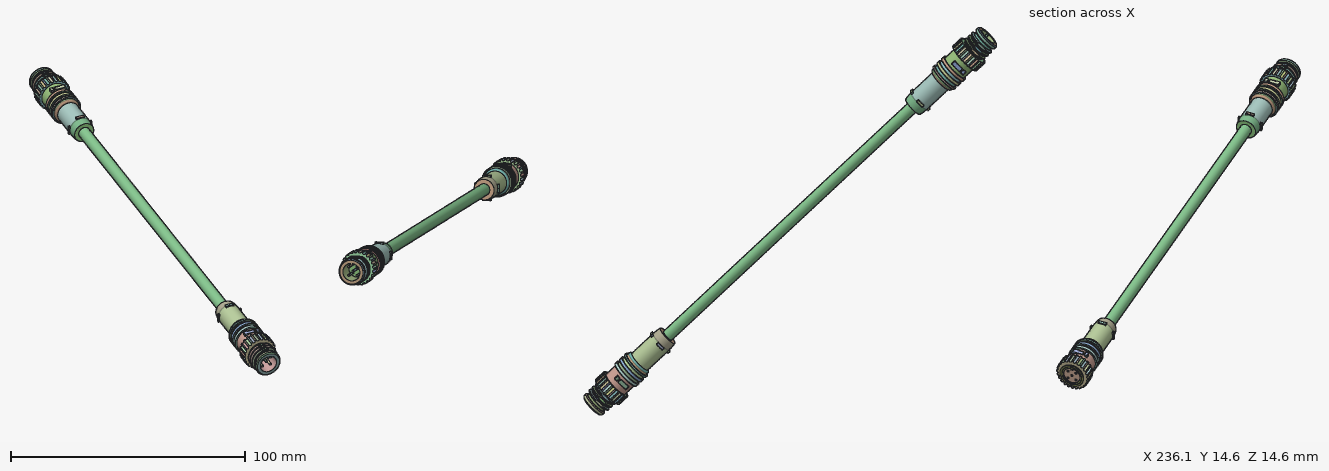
import cadquery as cq
import math

total_length = 236.1
housing_length = 44.9
cable_radius = 2.5

sleeve_radius = 4.7
cavity_radius = 3.8
cavity_depth = 8.5
rim_radius = 5.7
rim_length = 2.1
rim_chamfer = 0.5
key_width = 1.0
key_height = 0.7
outer_pins = 4
pin_radius = 0.5
pin_circle_radius = 2.5
pin_tip_inset = 2.1

nut_front = 3.3
nut_back = 14.0
thread_radius = 6.0
thread_root_radius = 5.2
thread_pitch = 2.0
thread_crest = 0.5
thread_flank = 0.5
thread_turns = 3
flat_half_height = 5.5
knurl_front = nut_front + thread_turns * thread_pitch
nut_radius = 7.3
knurl_grooves = 24
knurl_groove_radius = 0.6

grip_radius = 6.0
grip_end = 28.3
ring_radius = 6.5
ring_front = 19.8
ring_pitch = 2.8
ring_width = 1.5
ring_count = 3
last_ring_width = 1.0
grip_rounding = 1.0
mark_center = 17.5
mark_length = 2.0
mark_top = 6.1
mark_bar_width = 4.7
mark_dot_width = 1.5
mark_gap = 0.7
mark_neck_length = 0.5

neck_radius = 5.0
lug_front = 40.0
lug_length = 1.2
lug_width = 3.5
lug_reach = 5.5
neck_end_radius = 4.5


def cylinder(start, end, radius):
    """Cylinder on the X axis between two distances from the connector tip."""
    return cq.Workplane("YZ", origin=(start, 0, 0)).circle(radius).extrude(end - start)


def x_block(start, end, y_size, z_size, y=0.0, z=0.0):
    """Box between two X positions, centred at (y, z)."""
    return cq.Workplane("YZ", origin=(start, 0, 0)).center(y, z).rect(y_size, z_size).extrude(end - start)


def make_marks():
    """Raised mark on the top of the grip and its copy on the bottom."""
    height = 2 * mark_top
    start = mark_center - mark_length / 2
    end = mark_center + mark_length / 2
    overall = mark_bar_width + mark_gap + mark_dot_width
    bar_y = (overall - mark_bar_width) / 2
    dot_y = (mark_dot_width - overall) / 2
    bar = x_block(start, end, mark_bar_width, height, bar_y)
    dot = x_block(start, end, mark_dot_width, height, dot_y)
    neck = x_block(mark_center - mark_neck_length / 2, mark_center + mark_neck_length / 2, overall, height)
    return bar.union(dot).union(neck)


def make_front_sleeve():
    """Hollow nose with a rim at the tip, a coding key and five contact pins."""
    rim = cylinder(0, rim_length, rim_radius).edges().chamfer(rim_chamfer)
    sleeve = cylinder(0, nut_back, sleeve_radius).union(rim)
    sleeve = sleeve.cut(cylinder(0, cavity_depth, cavity_radius))
    key_overlap = (sleeve_radius - cavity_radius) / 2
    key_z = cavity_radius + (key_overlap - key_height) / 2
    sleeve = sleeve.union(x_block(0, cavity_depth, key_width, key_height + key_overlap, z=key_z))
    pin_spots = [(0, 0)]
    for i in range(outer_pins):
        angle = (2 * i + 1) * math.pi / outer_pins
        pin_spots.append((pin_circle_radius * math.cos(angle), pin_circle_radius * math.sin(angle)))
    pins = (
        cq.Workplane("YZ", origin=(pin_tip_inset, 0, 0))
        .pushPoints(pin_spots)
        .circle(pin_radius)
        .extrude(cavity_depth - pin_tip_inset)
    )
    return sleeve.union(pins)


def make_grip():
    """Grip with three rings and a raised mark."""
    grip = cylinder(nut_back, grip_end, grip_radius).faces(">X").edges().fillet(grip_rounding)
    for i in range(ring_count):
        start = ring_front + i * ring_pitch
        width = last_ring_width if i == ring_count - 1 else ring_width
        grip = grip.union(cylinder(start, start + width, ring_radius))
    return grip.union(make_marks())


def make_strain_relief():
    """Neck with four lugs, its end rounded in towards the cable."""
    lug_end = lug_front + lug_length
    neck = (
        cq.Workplane("XY")
        .moveTo(grip_end, 0)
        .lineTo(grip_end, neck_radius)
        .lineTo(lug_end, neck_radius)
        .tangentArcPoint((housing_length, neck_end_radius), relative=False)
        .lineTo(housing_length, 0)
        .close()
        .revolve(360, (0, 0, 0), (1, 0, 0))
    )
    for y_size, z_size in ((lug_width, 2 * lug_reach), (2 * lug_reach, lug_width)):
        neck = neck.union(x_block(lug_front, lug_end, y_size, z_size))
    return neck


def make_housing():
    """One-piece connector housing, with its tip at X = 0."""
    return make_front_sleeve().union(make_grip()).union(make_strain_relief())


def make_thread():
    """Ridged front of the nut with a flat on the top and on the bottom."""
    outline = [(nut_front, 0), (nut_front, thread_root_radius)]
    for i in range(thread_turns):
        start = nut_front + i * thread_pitch
        crest_start = start + thread_flank
        crest_end = crest_start + thread_crest
        outline.append((crest_start, thread_radius))
        outline.append((crest_end, thread_radius))
        outline.append((crest_end + thread_flank, thread_root_radius))
        outline.append((start + thread_pitch, thread_root_radius))
    outline.append((knurl_front, 0))
    ridges = cq.Workplane("XY").polyline(outline).close().revolve(360, (0, 0, 0), (1, 0, 0))
    return ridges.intersect(x_block(nut_front, nut_back, 2 * thread_radius, 2 * flat_half_height))


def make_nut():
    """Coupling nut with a round-grooved knurl along its full width."""
    nut = cylinder(knurl_front, nut_back, nut_radius)
    grooves = (
        cq.Workplane("YZ", origin=(knurl_front, 0, 0))
        .polarArray(nut_radius, 180 / knurl_grooves, 360, knurl_grooves)
        .circle(knurl_groove_radius)
        .extrude(nut_back - knurl_front)
    )
    nut = nut.cut(grooves).union(make_thread())
    return nut.cut(cylinder(nut_front, nut_back, sleeve_radius))


cable = cylinder(housing_length, total_length - housing_length, cable_radius)
housing = make_housing()
nut = make_nut()

pivot = (total_length / 2, 0, 0)
axis_end = (total_length / 2, 0, 1)
bodies = [cable.val()]
for turn in (0, 180):
    bodies.append(housing.rotate(pivot, axis_end, turn).val())
    bodies.append(nut.rotate(pivot, axis_end, turn).val())

result = cq.Compound.makeCompound(bodies)